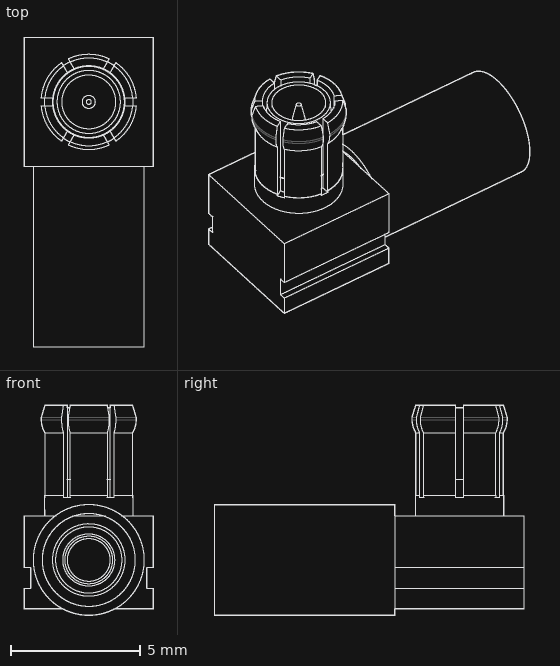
import cadquery as cq
import math


block_side = 5.0
block_top = 1.7
block_bottom = -1.9
groove_top = -0.3
groove_bottom = -1.1
groove_depth = 0.25

overall_length = 12
tube_outer_radius = 2.15
tube_inner_radius = 1.8
tube_length = overall_length - block_side
post_radius = 1.4
post_length = 3.6
post_shoulder_radius = 1.28
post_shoulder_length = 0.05
post_tip_radius = 1.01
post_tip_length = 1.0
post_mouth_radius = 0.92
post_bore_radius = 0.83
post_mouth_depth = 0.11

finger_top = 6
base_radius = 1.72
base_top = 2.5
finger_radius = 1.7
finger_inner_radius = 1.4
gap_floor = 3.11
sleeve_root_radius = 1.38
sleeve_top_radius = 1.22
sleeve_inner_radius = 1.05
sleeve_top = 5.9
sleeve_floor = base_top

bead_radius = 1.85
bead_cone_bottom = 5.52
bead_round_top = 5.42
bead_bottom = 4.92

slot_count = 6
slot_width = 0.3
slot_floor = 2.42
slot_reach = bead_radius + 0.12

pin_radius = 0.25
pin_tip_radius = 0.1
pin_top = 5.81
pin_taper_length = 0.75

block_front = -block_side / 2


def revolve_about_z(profile):
    return profile.close().revolve(360, (0, 0, 0), (0, 1, 0))


def make_block():
    height = block_top - block_bottom
    block = cq.Workplane("XY", origin=(0, 0, block_bottom)).box(
        block_side, block_side, height, centered=(True, True, False)
    )
    groove_height = groove_top - groove_bottom
    groove_z = (groove_top + groove_bottom) / 2
    for side in (-1, 1):
        groove = cq.Workplane("XY").box(2 * groove_depth, block_side, groove_height)
        block = block.cut(groove.translate((side * block_side / 2, 0, groove_z)))
    return block


def make_crimp_tube():
    return (
        cq.Workplane("XZ", origin=(0, block_front, 0))
        .circle(tube_outer_radius)
        .circle(tube_inner_radius)
        .extrude(tube_length)
    )


def make_cable_post():
    """Tubular post, closed by the block, with a small shoulder chamfer and a tapered tip."""
    tip = block_front - post_length
    taper_start = tip + post_tip_length
    profile = (
        cq.Workplane("XY")
        .moveTo(post_radius, block_front)
        .lineTo(post_radius, taper_start + post_shoulder_length)
        .lineTo(post_shoulder_radius, taper_start)
        .lineTo(post_tip_radius, tip)
        .lineTo(post_mouth_radius, tip)
        .lineTo(post_bore_radius, tip + post_mouth_depth)
        .lineTo(post_bore_radius, block_front)
    )
    return profile.close().revolve(360, (0, 0, 0), (0, 1, 0))


def make_mating_body():
    """Base, fingers with snap bead, gap and tapered inner sleeve in one revolved profile."""
    bead_height = bead_radius - finger_radius
    round_height = bead_round_top - bead_bottom
    round_radius = (bead_height**2 + round_height**2) / (2 * bead_height)
    half_angle = math.asin(round_height / round_radius) / 2
    round_mid = (
        bead_radius - round_radius * (1 - math.cos(half_angle)),
        bead_round_top - round_radius * math.sin(half_angle),
    )
    return revolve_about_z(
        cq.Workplane("XZ")
        .moveTo(0, block_top)
        .lineTo(base_radius, block_top)
        .lineTo(base_radius, base_top)
        .lineTo(finger_radius, base_top)
        .lineTo(finger_radius, bead_bottom)
        .threePointArc(round_mid, (bead_radius, bead_round_top))
        .lineTo(bead_radius, bead_cone_bottom)
        .lineTo(finger_radius, finger_top)
        .lineTo(finger_inner_radius, finger_top)
        .lineTo(finger_inner_radius, gap_floor)
        .lineTo(sleeve_root_radius, gap_floor)
        .lineTo(sleeve_top_radius, sleeve_top)
        .lineTo(sleeve_inner_radius, sleeve_top)
        .lineTo(sleeve_inner_radius, sleeve_floor)
        .lineTo(0, sleeve_floor)
    )


def cut_finger_slots(body):
    slot_height = finger_top - slot_floor
    slot_start = cq.Workplane("XY", origin=(0, 0, slot_floor))
    core = slot_start.circle(finger_inner_radius).extrude(slot_height)
    slot = slot_start.box(slot_reach, slot_width, slot_height, centered=(False, True, False)).cut(core)
    for index in range(slot_count):
        body = body.cut(slot.rotate((0, 0, 0), (0, 0, 1), index * 360 / slot_count))
    return body


def make_pin():
    return revolve_about_z(
        cq.Workplane("XZ")
        .moveTo(0, sleeve_floor)
        .lineTo(pin_radius, sleeve_floor)
        .lineTo(pin_radius, pin_top - pin_taper_length)
        .lineTo(pin_tip_radius, pin_top)
        .lineTo(0, pin_top)
    )


mating_end = cut_finger_slots(make_mating_body()).union(make_pin())
result = make_block().union(make_crimp_tube()).union(make_cable_post()).union(mating_end)